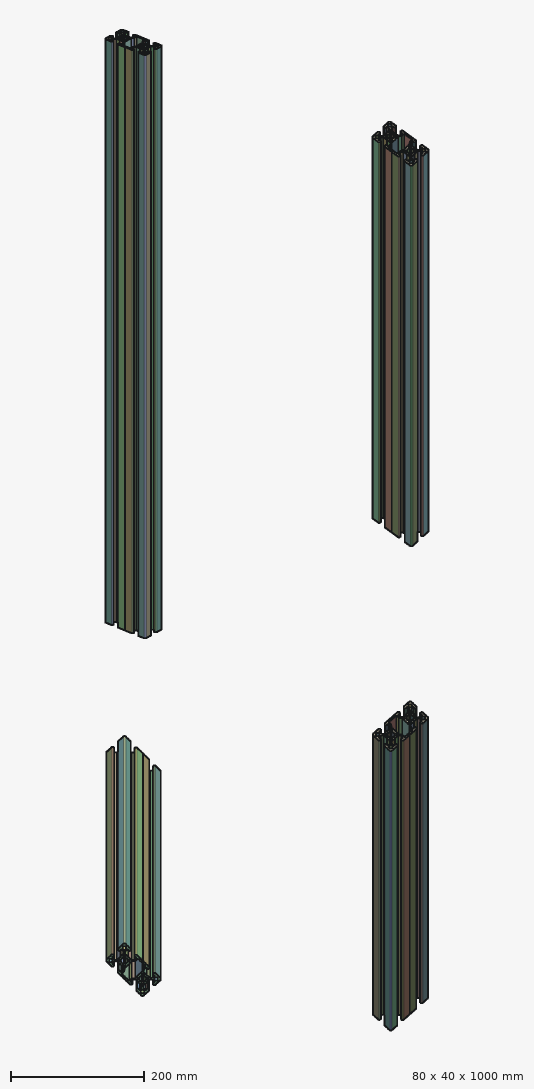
import cadquery as cq
import math

module = 40.0
length = 1000.0
width = 2 * module
corner_radius = 2.5
skin = 3.0

slot_opening = 10.0
lip_radius = 1.8
lip_thickness = 4.0
undercut_width = 19.0
undercut_depth = 8.0
slot_floor_width = 14.0
core_half_width = 8.5
slot_depth = module / 2 - core_half_width

groove_width = 0.5
groove_depth = 0.5

core_bore = 10.0
core_lobe = 3.6
core_lobe_offset = 6.5
core_lobe_count = 4
core_lobe_start_angle = 45
corner_bore = 5.6
corner_bore_inset = skin + corner_bore / 2
cavity_height = module - 2 * skin
cavity_end_width = 16.0
cavity_middle_width = 22.0
cavity_straight_height = 15.0
cavity_taper = 4.1

arc_middle = 1 - math.sqrt(0.5)


def placed(origin, angle, along, depth):
    """Point a distance along a side and a depth into the part, for a side turned by angle."""
    turn = math.radians(angle)
    x = origin[0] + along * math.cos(turn) - depth * math.sin(turn)
    y = origin[1] + along * math.sin(turn) + depth * math.cos(turn)
    return x, y


def add_slot(outline, origin, angle):
    """Continue the outline along a side and through one T-slot with rounded lips."""
    half = slot_opening / 2
    arc_offset = lip_radius * arc_middle
    entry = [(-half - lip_radius, 0), (-half - arc_offset, arc_offset), (-half, lip_radius)]
    left_wall = [
        (-half, lip_thickness),
        (-undercut_width / 2, lip_thickness),
        (-undercut_width / 2, undercut_depth),
        (-slot_floor_width / 2, slot_depth),
        (-groove_width / 2, slot_depth),
    ]
    right_wall = [(-along, depth) for along, depth in reversed(left_wall)]
    leave = [(-along, depth) for along, depth in reversed(entry)]

    outline = outline.lineTo(*placed(origin, angle, *entry[0]))
    outline = outline.threePointArc(*[placed(origin, angle, *point) for point in entry[1:]])
    for point in left_wall + [(0, slot_depth + groove_depth)] + right_wall + leave[:1]:
        outline = outline.lineTo(*placed(origin, angle, *point))
    return outline.threePointArc(*[placed(origin, angle, *point) for point in leave[1:]])


def add_face_groove(outline, origin, angle):
    """Continue the outline along a side and through one V-groove."""
    for point in [(-groove_width / 2, 0), (0, groove_depth), (groove_width / 2, 0)]:
        outline = outline.lineTo(*placed(origin, angle, *point))
    return outline


def add_corner(outline, corner, angle):
    """Continue the outline along a side and round the corner at its far end."""
    arc_offset = corner_radius * arc_middle
    arc = [(-corner_radius, 0), (-arc_offset, arc_offset), (0, corner_radius)]
    outline = outline.lineTo(*placed(corner, angle, *arc[0]))
    return outline.threePointArc(*[placed(corner, angle, *point) for point in arc[1:]])


def profile_body():
    """Solid of the outer outline, followed counter-clockwise from the -X, -Y corner."""
    half_x = width / 2
    half_y = module / 2
    outline = cq.Workplane("XY").moveTo(-half_x + corner_radius, -half_y)
    for side, angle in ((1, 0), (-1, 180)):
        face_y = -side * half_y
        outline = add_slot(outline, (-side * module / 2, face_y), angle)
        outline = add_face_groove(outline, (0, face_y), angle)
        outline = add_slot(outline, (side * module / 2, face_y), angle)
        outline = add_corner(outline, (side * half_x, face_y), angle)
        outline = add_slot(outline, (side * half_x, 0), angle + 90)
        outline = add_corner(outline, (side * half_x, -face_y), angle + 90)
    return outline.close().extrude(length)


def cavity():
    """Hollow between the two cores, wide in the middle and narrow beside the slots."""
    end = cavity_height / 2
    middle = cavity_straight_height / 2
    shoulder = middle + cavity_taper
    right_side = [
        (cavity_end_width / 2, -end),
        (cavity_end_width / 2, -shoulder),
        (cavity_middle_width / 2, -middle),
        (cavity_middle_width / 2, middle),
        (cavity_end_width / 2, shoulder),
        (cavity_end_width / 2, end),
    ]
    left_side = [(-x, y) for x, y in reversed(right_side)]
    return cq.Workplane("XY").polyline(right_side + left_side).close().extrude(length)


def core_bore_cutter(center_x):
    """Round bore of one core with four small lobes on its diagonals."""
    bore = cq.Workplane("XY").circle(core_bore / 2).extrude(length)
    lobes = (
        cq.Workplane("XY")
        .polarArray(core_lobe_offset, core_lobe_start_angle, 360, core_lobe_count)
        .circle(core_lobe / 2)
        .extrude(length)
    )
    return bore.union(lobes).translate((center_x, 0, 0))


def corner_bores():
    """Small hollow in each of the four corners."""
    x = width / 2 - corner_bore_inset
    y = module / 2 - corner_bore_inset
    centers = [(-x, -y), (x, -y), (x, y), (-x, y)]
    return cq.Workplane("XY").pushPoints(centers).circle(corner_bore / 2).extrude(length)


result = profile_body().cut(cavity()).cut(corner_bores())
for core_x in (-module / 2, module / 2):
    result = result.cut(core_bore_cutter(core_x))